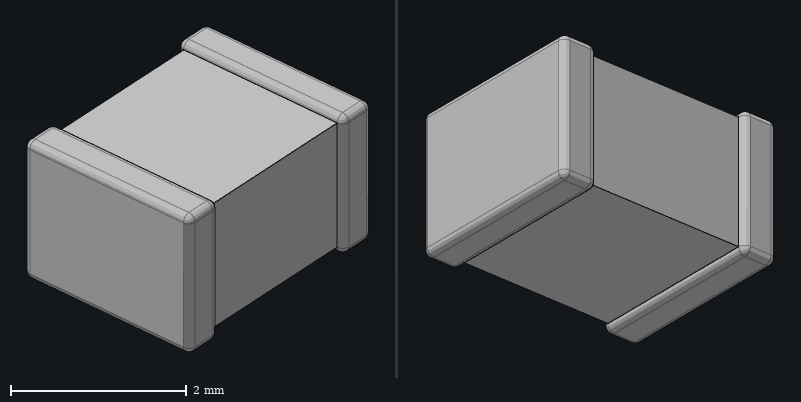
import cadquery as cq

width = 2.5
length = 3.2
height = 1.9

terminal_length = 0.5
edge_radius = 0.095
body_inset = edge_radius


def make_terminal(side):
    """End cap with every edge rounded; side is -1 for the -Y end, +1 for the +Y end."""
    center_y = side * (length - terminal_length) / 2
    return (
        cq.Workplane("XY")
        .box(width, terminal_length, height)
        .edges()
        .fillet(edge_radius)
        .translate((0, center_y, height / 2))
    )


def make_body():
    """Plain block that reaches to the middle of each terminal."""
    return cq.Workplane("XY").box(
        width - 2 * body_inset,
        length - terminal_length,
        height - 2 * body_inset,
    ).translate((0, 0, height / 2))


result = make_body()
for end_side in (-1, 1):
    result = result.union(make_terminal(end_side))